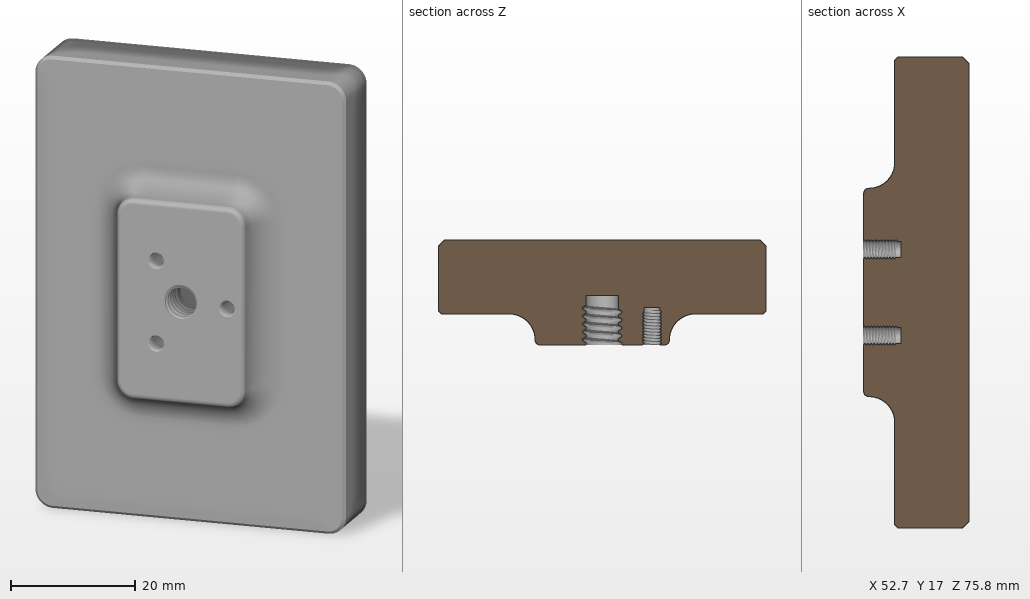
import cadquery as cq
import math

plate_width = 52.7
plate_height = 75.8
plate_thickness = 12.0
plate_corner_radius = 3.0
rear_chamfer = 1.0
front_chamfer = 0.5

boss_width = 21.7
boss_length = 33.6
boss_height = 5.0
boss_corner_radius = 2.9
boss_rim_radius = 0.9
boss_land = 0.01
boss_root_radius = boss_height - boss_rim_radius - boss_land

center_major_diameter = 6.35
center_minor_diameter = 5.12
center_pitch = 1.27
center_depth = 8.0
center_start_angle = 70.0

small_major_diameter = 3.0
small_minor_diameter = 2.53
small_pitch = 0.5
small_depth = 6.0
small_start_angle = 270.0
small_hole_count = 3
small_circle_radius = 8.0

groove_mouth_fraction = 0.75
groove_root_fraction = 0.125
groove_overlap = 0.1


def rounded_block(start_y, end_y, width, height, corner_radius):
    """Block between two Y levels with rounded corners along Y."""
    return (
        cq.Workplane("XZ", origin=(0, end_y, 0))
        .rect(width, height)
        .extrude(end_y - start_y)
        .edges("|Y")
        .fillet(corner_radius)
    )


def make_plate():
    plate = rounded_block(0, plate_thickness, plate_width, plate_height, plate_corner_radius)
    plate = plate.faces(">Y").chamfer(rear_chamfer)
    return plate.faces("<Y").chamfer(front_chamfer)


def add_boss(plate):
    boss = rounded_block(-boss_height, 0, boss_width, boss_length, boss_corner_radius)
    boss = boss.faces("<Y").edges().fillet(boss_rim_radius)
    reach_x = boss_width / 2 + boss_root_radius
    reach_y = boss_land / 2
    reach_z = boss_length / 2 + boss_root_radius
    boss_joint = cq.selectors.BoxSelector(
        (-reach_x, -reach_y, -reach_z),
        (reach_x, reach_y, reach_z),
        boundingbox=True,
    )
    return plate.union(boss).edges(boss_joint).fillet(boss_root_radius)


def thread_groove(major_diameter, minor_diameter, pitch, depth):
    """Helical groove along +Z that starts one pitch below Z = 0 and ends inside the depth."""
    inner_radius = minor_diameter / 2 - groove_overlap
    outer_radius = major_diameter / 2
    flank_slope = (groove_mouth_fraction - groove_root_fraction) * pitch / (major_diameter - minor_diameter)
    root_half = groove_root_fraction * pitch / 2
    inner_half = root_half + flank_slope * (outer_radius - inner_radius)
    turns = math.floor(depth / pitch)
    helix = cq.Wire.makeHelix(pitch, turns * pitch, minor_diameter / 2)
    groove = (
        cq.Workplane("XZ")
        .moveTo(inner_radius, -inner_half)
        .lineTo(outer_radius, -root_half)
        .lineTo(outer_radius, root_half)
        .lineTo(inner_radius, inner_half)
        .close()
        .sweep(cq.Workplane(helix), isFrenet=True)
    )
    return groove.translate((0, 0, -pitch))


def cut_threaded_hole(body, x, z, major_diameter, minor_diameter, pitch, depth, start_angle):
    """Blind threaded hole from the boss face; start_angle is where the groove crosses that face."""
    start = math.radians(start_angle)
    hole_frame = cq.Plane(
        origin=(x, -boss_height, z),
        xDir=(math.cos(start), 0, math.sin(start)),
        normal=(0, 1, 0),
    )
    bore = cq.Workplane(hole_frame).circle(minor_diameter / 2).extrude(depth)
    groove = thread_groove(major_diameter, minor_diameter, pitch, depth).val().moved(cq.Location(hole_frame))
    return body.cut(bore).cut(cq.Workplane(groove))


def cut_center_hole(body):
    return cut_threaded_hole(
        body,
        0,
        0,
        center_major_diameter,
        center_minor_diameter,
        center_pitch,
        center_depth,
        center_start_angle,
    )


def cut_small_holes(body):
    for index in range(small_hole_count):
        angle = 2 * math.pi * index / small_hole_count
        body = cut_threaded_hole(
            body,
            small_circle_radius * math.cos(angle),
            small_circle_radius * math.sin(angle),
            small_major_diameter,
            small_minor_diameter,
            small_pitch,
            small_depth,
            small_start_angle,
        )
    return body


threaded_body = cut_small_holes(cut_center_hole(add_boss(make_plate())))
result = threaded_body.solids()